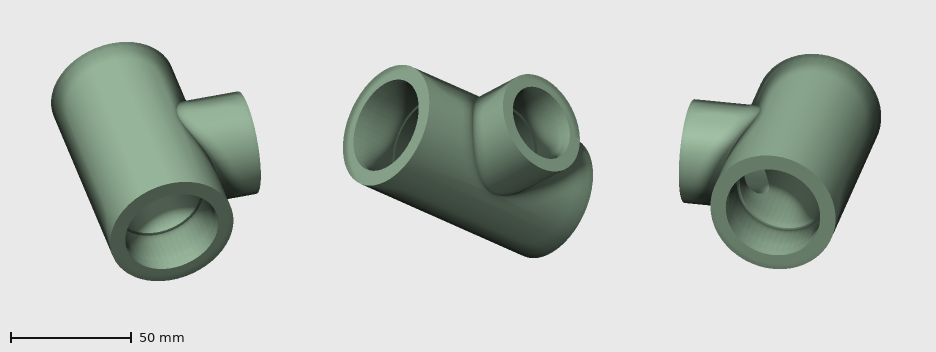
import cadquery as cq

run_length = 92.0
run_outer_diameter = 53.0
run_bore_diameter = 37.4
run_socket_diameter = 40.0
run_socket_depth = 22.0

branch_reach = 45.0
branch_outer_diameter = 43.2
branch_bore_diameter = 29.4
branch_socket_diameter = 32.0
branch_socket_depth = 20.0


def cylinder_along_x(diameter, x_start, x_end):
    plane = cq.Workplane("YZ", origin=(x_start, 0, 0))
    return plane.circle(diameter / 2).extrude(x_end - x_start)


def cylinder_along_y(diameter, y_start, y_end):
    plane = cq.Workplane("XZ", origin=(0, y_start, 0))
    return plane.circle(diameter / 2).extrude(y_start - y_end)


run_end = run_length / 2

run_body = cylinder_along_x(run_outer_diameter, -run_end, run_end)
branch_body = cylinder_along_y(branch_outer_diameter, 0, branch_reach)
tee = run_body.union(branch_body)

tee = tee.cut(cylinder_along_x(run_bore_diameter, -run_end, run_end))
socket_floor = run_end - run_socket_depth
tee = tee.cut(cylinder_along_x(run_socket_diameter, -run_end, -socket_floor))
tee = tee.cut(cylinder_along_x(run_socket_diameter, socket_floor, run_end))

tee = tee.cut(cylinder_along_y(branch_bore_diameter, 0, branch_reach))
branch_socket_floor = branch_reach - branch_socket_depth
tee = tee.cut(cylinder_along_y(branch_socket_diameter, branch_socket_floor, branch_reach))

result = tee